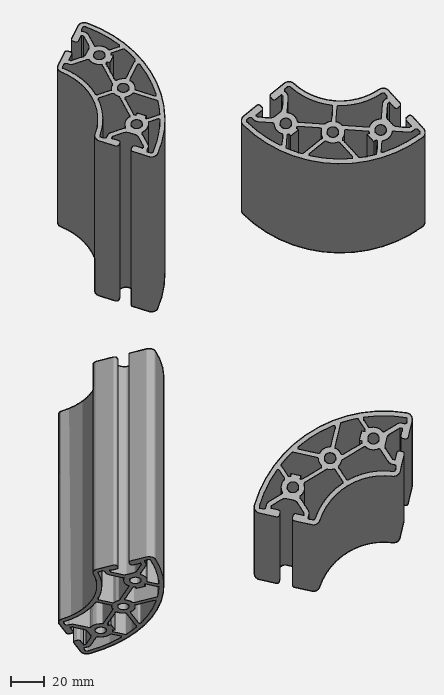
import cadquery as cq
import math

length = 150.0
middle_radius = 60.0
inner_radius = middle_radius / 1.5
outer_radius = 2 * inner_radius
corner_radius = 4.0
wall = 3.0
end_corner_radius = 1.2

bore_diameter = 6.8
boss_diameter = 14.0
tab_width = 6.0
tab_reach = 8.0
web_thickness = 2.5
web_corner_radius = 0.9

slot_mouth = 8.0
slot_width = 20.0
slot_depth = 12.3
slot_floor_width = 7.4
slot_wall = 3.0
lip_thickness = 4.5
lip_radius = 1.5
floor_radius = 3.9
housing_bend_radius = 3.9

end_boss = (inner_radius / 2, middle_radius)
diagonal = math.cos(math.radians(45))
middle_boss = (middle_radius * diagonal, middle_radius * diagonal)
tolerance = 0.02


def mirrored(body):
    """The body reflected across the vertical plane y = x."""
    return body.mirror("YZ").rotate((0, 0, 0), (0, 0, 1), -90)


def with_mirror_image(body):
    return body.union(mirrored(body))


def cylinder(center, diameter):
    return cq.Workplane("XY").center(*center).circle(diameter / 2).extrude(length)


def quarter_ring(inset):
    """Quarter ring about the origin, drawn in by the inset on all four sides."""
    inner = inner_radius + inset
    outer = outer_radius - inset
    inner_end = math.sqrt(inner**2 - inset**2)
    outer_end = math.sqrt(outer**2 - inset**2)
    return (
        cq.Workplane("XY")
        .moveTo(inner_end, inset)
        .lineTo(outer_end, inset)
        .threePointArc((outer * diagonal, outer * diagonal), (inset, outer_end))
        .lineTo(inset, inner_end)
        .threePointArc((inner * diagonal, inner * diagonal), (inner_end, inset))
        .close()
        .extrude(length)
    )


def web(start, angle):
    """Flat web from a boss center, at an angle in degrees from +X, long enough to cross the pocket."""
    reach = inner_radius
    return (
        cq.Workplane("XY")
        .center(reach / 2, 0)
        .rect(reach, web_thickness)
        .extrude(length)
        .rotate((0, 0, 0), (0, 0, 1), angle)
        .translate((*start, 0))
    )


def slot_prism(upper_half):
    """Prism symmetric about the slot centerline, from its upper outline points (depth, half width)."""
    lower_half = [(depth, -half_width) for depth, half_width in reversed(upper_half) if half_width > 0]
    outline = upper_half + lower_half
    return cq.Workplane("XY").center(0, middle_radius).polyline(outline).close().extrude(length)


flank_tip = slot_depth + slot_floor_width / 2


def slot_cavity():
    """T-slot through the x = 0 face, with 45 degree flanks down to a flat floor."""
    cavity = slot_prism([
        (0, slot_mouth / 2),
        (lip_thickness, slot_mouth / 2),
        (lip_thickness, slot_width / 2),
        (flank_tip - slot_width / 2, slot_width / 2),
        (slot_depth, slot_floor_width / 2),
    ])
    return cavity.edges("|Z").edges(">X").fillet(floor_radius)


def slot_housing():
    """Solid block around the T-slot that tapers at 45 degrees into the end boss."""
    half_width = slot_width / 2 + slot_wall
    tip = flank_tip + slot_wall / diagonal
    bend_depth = tip - half_width
    housing = slot_prism([(0, half_width), (bend_depth, half_width), (tip, 0)])
    bends = housing.edges("|Z").filter(lambda edge: abs(edge.Center().x - bend_depth) < tolerance)
    return bends.fillet(housing_bend_radius)


def end_structure():
    """Slot housing, tabbed boss and webs on the x = 0 side of the symmetry line."""
    tab = cq.Workplane("XY").center(end_boss[0] + tab_reach / 2, end_boss[1]).rect(tab_reach, tab_width)
    return (
        slot_housing()
        .union(cylinder(end_boss, boss_diameter))
        .union(tab.extrude(length))
        .union(web(end_boss, 45))
        .union(web(end_boss, -45))
        .union(web(middle_boss, 90))
    )


def on_end_wall(edge):
    center = edge.Center()
    return abs(min(center.x, center.y) - wall) < tolerance


def on_skin(edge):
    """True for corners on the inside of the two curved walls, away from the end walls."""
    center = edge.Center()
    radius = math.hypot(center.x, center.y)
    clearance = min(radius - inner_radius, outer_radius - radius)
    return abs(clearance - wall) < tolerance and min(center.x, center.y) > 2 * wall


def on_boss(edge):
    """True for corners where a boss meets a web or a slot housing, but not its tab."""
    center = edge.Center()
    point = (max(center.x, center.y), min(center.x, center.y))
    if abs(math.dist(point, middle_boss) - boss_diameter / 2) < tolerance:
        return True
    beside_tab = abs(point[0] - end_boss[1]) < tab_width / 2 + tolerance
    return abs(math.dist(point, end_boss[::-1]) - boss_diameter / 2) < tolerance and not beside_tab


def hollow_cells():
    """The hollow spaces left between the walls, the bosses and the webs."""
    structure = (
        with_mirror_image(end_structure())
        .union(cylinder(middle_boss, boss_diameter))
        .union(web(middle_boss, -135))
    )
    cells = quarter_ring(wall).cut(structure)
    cells = cells.edges("|Z").filter(on_boss).fillet(web_corner_radius)
    cells = cells.edges("|Z").filter(on_skin).fillet(web_corner_radius)
    return cells.edges("|Z").filter(on_end_wall).fillet(end_corner_radius)


def on_lip(edge):
    """True for the corners of the two lips that flank each slot mouth."""
    center = edge.Center()
    from_slot_center = abs(max(center.x, center.y) - middle_radius)
    depth = min(center.x, center.y)
    return abs(from_slot_center - slot_mouth / 2) < tolerance and depth < lip_thickness + tolerance


profile = quarter_ring(0).edges("|Z").fillet(corner_radius).cut(hollow_cells())
profile = profile.cut(with_mirror_image(slot_cavity()))
profile = profile.cut(with_mirror_image(cylinder(end_boss, bore_diameter)))
profile = profile.cut(cylinder(middle_boss, bore_diameter))
profile = profile.edges("|Z").filter(on_lip).fillet(lip_radius)

result = profile